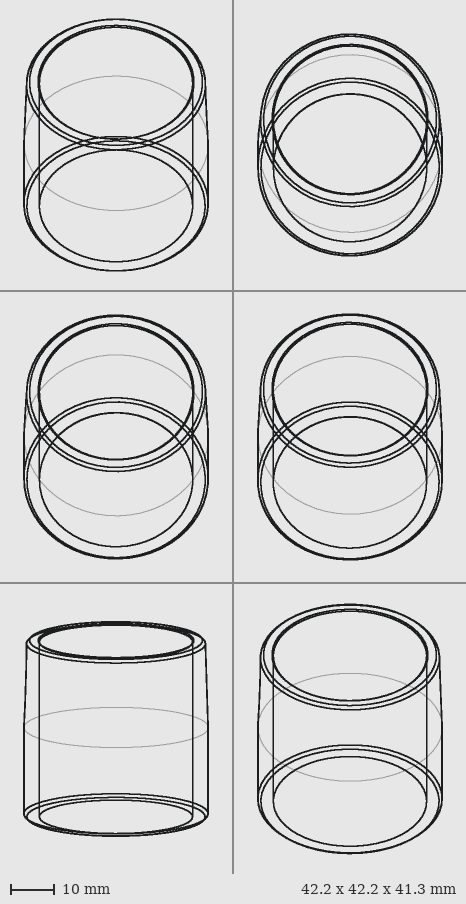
import cadquery as cq

outer_diameter = 42.16
bore_diameter = 35.05
length = 41.275
taper_ratio = 1 / 16
taper_length = 20.3
end_chamfer = 0.7
bore_chamfer = 0.3

outer_radius = outer_diameter / 2
bore_radius = bore_diameter / 2
taper_start = length - taper_length
taper_end = length - end_chamfer
taper_end_radius = outer_radius - (taper_end - taper_start) * taper_ratio / 2


def wall_profile():
    """Half section of the pipe wall: sketch x is the radius, sketch y is the height."""
    return (
        cq.Workplane("XZ")
        .moveTo(bore_radius, 0)
        .lineTo(outer_radius - end_chamfer, 0)
        .lineTo(outer_radius, end_chamfer)
        .lineTo(outer_radius, taper_start)
        .lineTo(taper_end_radius, taper_end)
        .lineTo(taper_end_radius - end_chamfer, length)
        .lineTo(bore_radius + bore_chamfer, length)
        .lineTo(bore_radius, length - bore_chamfer)
        .close()
    )


def pipe_nipple():
    """Turn the wall section about the Z axis."""
    axis_start = (0, 0)
    axis_end = (0, 1)
    return wall_profile().revolve(360, axis_start, axis_end)


result = pipe_nipple()